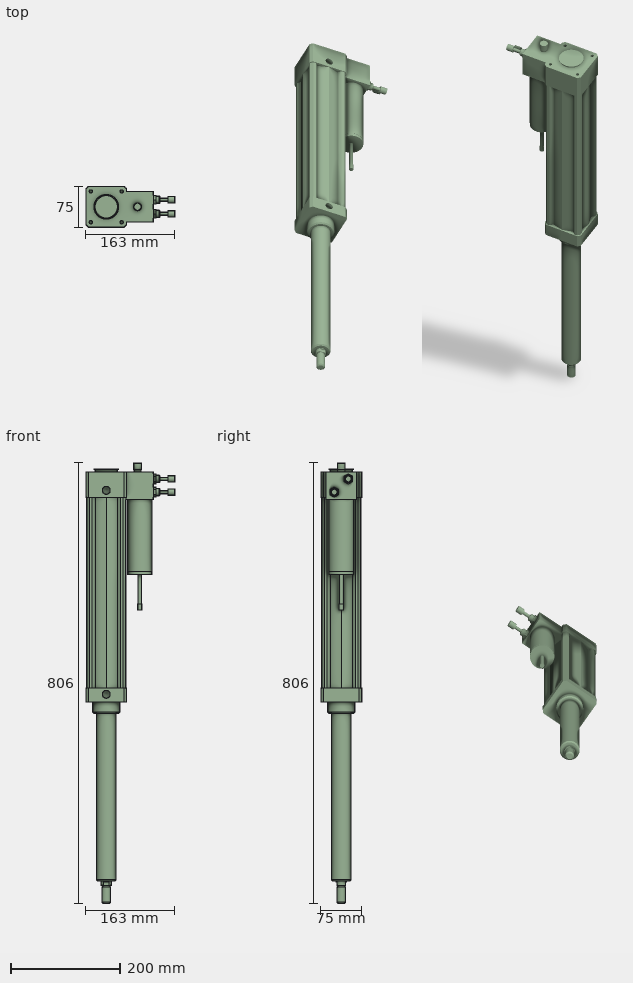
import cadquery as cq
import math


TOTAL_WIDTH = 163.0

TOTAL_HEIGHT = 806.0
HEAD_TOP = 790.0
HEAD_BOTTOM = 743.0
GEARBOX_BOTTOM = 739.0
MOTOR_BOTTOM = 602.0
CABLE_BOTTOM = 537.0
FOOT_TOP = 394.0
FOOT_BOTTOM = 368.0
COLLAR_BOTTOM = 348.0
ROD_BOTTOM = 41.0

CAP_WIDTH = 75.0
CAP_CHAMFER = 5.0

PROFILE_WIDTH = 72.0
PROFILE_CHAMFER = 5.0
FLANK_OUTER = 26.0
FLANK_DEPTH = 6.0

PORT_DIAMETER = 14.5
PORT_DEPTH = 10.0
DRILL_ANGLE = 118.0
HEAD_PORT_Z = 756.0
FOOT_PORT_Z = 383.0

SCREW_DIAMETER = 6.0
SCREW_OFFSET = 28.0
SCREW_DEPTH = 8.0

COVER_DIAMETER = 45.0
COVER_NECK_DIAMETER = 41.0
COVER_TOP = 795.0
COVER_THICKNESS = 1.0

GEARBOX_LEFT = PROFILE_WIDTH / 2
GEARBOX_RIGHT = 86.0
GEARBOX_DEPTH = 56.5
MOTOR_X = 61.0
MOTOR_DIAMETER = 45.0
MOTOR_RIM_DIAMETER = 44.0
MOTOR_RIM_HEIGHT = 6.0
CABLE_DIAMETER = 7.0
CABLE_TIP_DIAMETER = 8.0
CABLE_TIP_HEIGHT = 11.0

VENT_X = 57.0
VENT_DIAMETER = 14.5
VENT_NECK_DIAMETER = 13.0
VENT_HEAD_HEIGHT = 12.0

COLLAR_DIAMETER = 50.0
COLLAR_CHAMFER = 2.5
ROD_DIAMETER = 36.0
ROD_CHAMFER = 2.5
ROD_END_DIAMETER = 19.0
ROD_END_BOTTOM = 33.0
FLAT_WIDTH = 16.0
FLAT_HEIGHT = 6.5
RELIEF_DIAMETER = 14.0
THREAD_DIAMETER = 16.0
THREAD_TOP = 30.0
THREAD_CHAMFER = 2.5

CONNECTOR_OFFSET_Y = 13.0
CONNECTOR_UPPER_Z = 777.0
CONNECTOR_LOWER_Z = 753.0
NUT_DIAMETER = 18.5
NUT_LENGTH = 5.0
SOCKET_DIAMETER = 14.0
SOCKET_LENGTH = 7.0
SOCKET_CHAMFER = 2.0
STEM_DIAMETER = 6.0
STEM_LENGTH = 14.5
PLUG_DIAMETER = 12.0
CONNECTOR_LENGTH = TOTAL_WIDTH - CAP_WIDTH / 2 - GEARBOX_RIGHT


def cylinder(x, diameter, bottom, top):
    """Upright cylinder standing at (x, 0) between two levels."""
    return cq.Workplane("XY", origin=(x, 0, bottom)).circle(diameter / 2).extrude(top - bottom)


def make_cap(bottom, top):
    block = cq.Workplane("XY", origin=(0, 0, bottom)).rect(CAP_WIDTH, CAP_WIDTH).extrude(top - bottom)
    return block.edges("|Z").chamfer(CAP_CHAMFER)


def make_profile_tube():
    half = PROFILE_WIDTH / 2
    corner = half - PROFILE_CHAMFER
    valley = FLANK_OUTER - FLANK_DEPTH
    side = [
        (-corner, -half),
        (-FLANK_OUTER, -half),
        (-valley, -half + FLANK_DEPTH),
        (0, -half),
        (valley, -half + FLANK_DEPTH),
        (FLANK_OUTER, -half),
        (corner, -half),
    ]
    outline = []
    for _ in range(4):
        outline += side
        side = [(-y, x) for x, y in side]
    profile = cq.Workplane("XY", origin=(0, 0, FOOT_TOP)).polyline(outline).close()
    return profile.extrude(HEAD_BOTTOM - FOOT_TOP)


def make_port(z):
    """Drilled port with a conical bottom, entering from the -Y side."""
    radius = PORT_DIAMETER / 2
    cone_depth = radius / math.tan(math.radians(DRILL_ANGLE / 2))
    entry = -CAP_WIDTH / 2
    half_section = [
        (0, entry),
        (radius, entry),
        (radius, entry + PORT_DEPTH),
        (0, entry + PORT_DEPTH + cone_depth),
    ]
    return cq.Workplane("XY", origin=(0, 0, z)).polyline(half_section).close().revolve(360, (0, 0), (0, 1))


def make_screw_holes():
    spacing = 2 * SCREW_OFFSET
    layout = cq.Workplane("XY", origin=(0, 0, HEAD_TOP)).rect(spacing, spacing, forConstruction=True)
    return layout.vertices().circle(SCREW_DIAMETER / 2).extrude(-SCREW_DEPTH)


def make_cover():
    neck = cylinder(0, COVER_NECK_DIAMETER, HEAD_TOP, COVER_TOP)
    return neck.union(cylinder(0, COVER_DIAMETER, COVER_TOP - COVER_THICKNESS, COVER_TOP))


def make_gearbox():
    width = GEARBOX_RIGHT - GEARBOX_LEFT
    center = (GEARBOX_LEFT + GEARBOX_RIGHT) / 2
    plan = cq.Workplane("XY", origin=(center, 0, GEARBOX_BOTTOM)).rect(width, GEARBOX_DEPTH)
    return plan.extrude(HEAD_TOP - GEARBOX_BOTTOM)


def make_motor():
    rim_top = MOTOR_BOTTOM + MOTOR_RIM_HEIGHT
    tip_top = CABLE_BOTTOM + CABLE_TIP_HEIGHT
    motor = cylinder(MOTOR_X, MOTOR_DIAMETER, rim_top, GEARBOX_BOTTOM)
    motor = motor.union(cylinder(MOTOR_X, MOTOR_RIM_DIAMETER, MOTOR_BOTTOM, rim_top))
    motor = motor.union(cylinder(MOTOR_X, CABLE_DIAMETER, tip_top, MOTOR_BOTTOM))
    return motor.union(cylinder(MOTOR_X, CABLE_TIP_DIAMETER, CABLE_BOTTOM, tip_top))


def make_vent():
    head_bottom = TOTAL_HEIGHT - VENT_HEAD_HEIGHT
    neck = cylinder(VENT_X, VENT_NECK_DIAMETER, HEAD_TOP, head_bottom)
    return neck.union(cylinder(VENT_X, VENT_DIAMETER, head_bottom, TOTAL_HEIGHT))


def make_collar():
    collar = cylinder(0, COLLAR_DIAMETER, COLLAR_BOTTOM, FOOT_BOTTOM)
    return collar.faces("<Z").chamfer(COLLAR_CHAMFER)


def make_housing():
    housing = make_cap(HEAD_BOTTOM, HEAD_TOP)
    housing = housing.union(make_gearbox())
    housing = housing.union(make_profile_tube())
    housing = housing.union(make_cap(FOOT_BOTTOM, FOOT_TOP))
    housing = housing.union(make_collar())
    housing = housing.union(make_motor())
    housing = housing.union(make_cover())
    housing = housing.union(make_vent())
    housing = housing.cut(make_port(HEAD_PORT_Z))
    housing = housing.cut(make_port(FOOT_PORT_Z))
    housing = housing.cut(make_screw_holes())
    return housing.cut(cylinder(0, ROD_DIAMETER, COLLAR_BOTTOM, FOOT_BOTTOM))


def make_wrench_flats():
    """Round end section flattened on its -Y and +Y sides below a short full-round step."""
    end = cylinder(0, ROD_END_DIAMETER, ROD_END_BOTTOM, ROD_BOTTOM)
    start = cq.Workplane("XY", origin=(0, 0, ROD_END_BOTTOM))
    slab = start.rect(ROD_END_DIAMETER, FLAT_WIDTH).extrude(FLAT_HEIGHT)
    step = cylinder(0, ROD_END_DIAMETER, ROD_END_BOTTOM + FLAT_HEIGHT, ROD_BOTTOM)
    return end.intersect(slab).union(step)


def make_rod():
    rod = cylinder(0, ROD_DIAMETER, ROD_BOTTOM, FOOT_BOTTOM).faces("<Z").chamfer(ROD_CHAMFER)
    rod = rod.union(make_wrench_flats())
    rod = rod.union(cylinder(0, RELIEF_DIAMETER, THREAD_TOP, ROD_END_BOTTOM))
    return rod.union(cylinder(0, THREAD_DIAMETER, 0, THREAD_TOP).faces("<Z").chamfer(THREAD_CHAMFER))


def make_connector(y, z):
    face = cq.Workplane("YZ", origin=(GEARBOX_RIGHT, y, z))
    stem_start = NUT_LENGTH + SOCKET_LENGTH
    plug_start = stem_start + STEM_LENGTH
    nut = face.transformed(rotate=(0, 0, 90)).polygon(6, NUT_DIAMETER).extrude(NUT_LENGTH)
    socket = face.workplane(offset=NUT_LENGTH).circle(SOCKET_DIAMETER / 2).extrude(SOCKET_LENGTH)
    socket = socket.faces(">X").chamfer(SOCKET_CHAMFER)
    stem = face.workplane(offset=stem_start).circle(STEM_DIAMETER / 2).extrude(STEM_LENGTH)
    plug = face.workplane(offset=plug_start).circle(PLUG_DIAMETER / 2).extrude(CONNECTOR_LENGTH - plug_start)
    return nut.union(socket).union(stem).union(plug)


housing = make_housing()
rod = make_rod()
connector_places = [
    (CONNECTOR_OFFSET_Y, CONNECTOR_UPPER_Z),
    (-CONNECTOR_OFFSET_Y, CONNECTOR_LOWER_Z),
]
connectors = [make_connector(y, z) for y, z in connector_places]

result = cq.Compound.makeCompound([housing.val(), rod.val(), *[connector.val() for connector in connectors]])